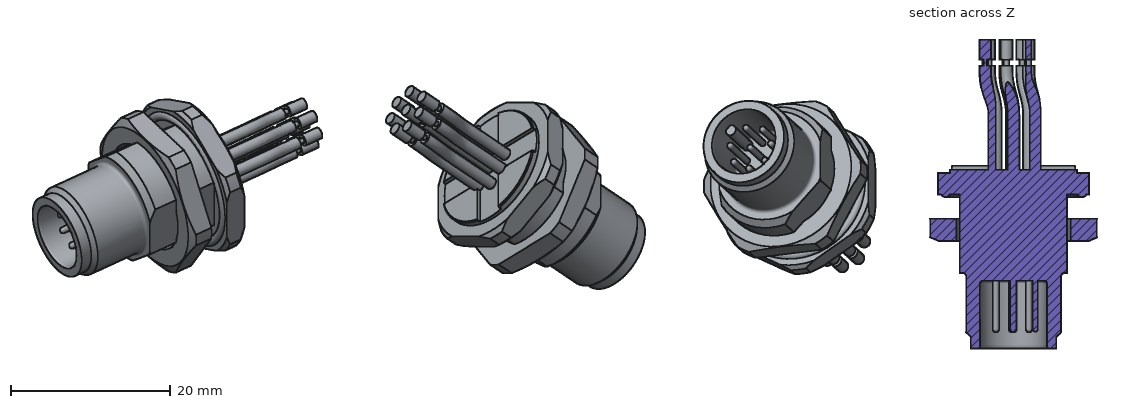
import cadquery as cq
import math


COLLAR_END = 1.47
SHOULDER_END = 2.05
SHELL_END = 9.08
THREAD_START = 9.5
THREAD_FULL = 10.32
NUT_FRONT = 13.5
NUT_BACK = 16.35
FLANGE_FRONT = 19.35
FLANGE_BACK = 22.08
SLOT_FLOOR = 22.5
BODY_BACK = 23.0
BEND_START = 29.35
BEND_END = 34.85
INSULATION_END = 35.55
CRIMP_START = 36.3
TOTAL_LENGTH = 38.8

COLLAR_RADIUS = 10.8 / 2
SHELL_RADIUS = 12.0 / 2
THREAD_RADIUS = 16.0 / 2
REAR_CHAMFER = 0.15
FLAT_DISTANCE = 6.75
FLAT_ANGLES = (0, 135, 180, 315)

BORE_RADIUS = 8.4 / 2
MOUTH_RADIUS = 4.25
MOUTH_DEPTH = 0.4
BORE_DEPTH = 8.55
BORE_FLOOR_FILLET = 0.35
KEY_RADIUS = 1.35 / 2
KEY_OFFSET = 3.7
KEY_ANGLE = 135
KEY_TIP = 2.33

ACROSS_FLATS = 19.0
NUT_CORNER_RADIUS = 21.0 / 2
NUT_FACE_RADIUS = 9.43
NUT_CHAMFER_LENGTH = 0.45
FLANGE_CORNER_RADIUS = 20.87 / 2
FLANGE_FRONT_CHAMFER = 0.5
FLANGE_BACK_CHAMFER = 0.6

SEAL_SECTION_RADIUS = 0.62
SEAL_RING_RADIUS = 8.57
SEAL_PROTRUSION = 0.35

CONTACT_CIRCLE_RADIUS = 2.75
CONTACT_PITCH = 49.1
RING_CONTACT_COUNT = 7
PIN_RADIUS = 0.8 / 2
PIN_TIP = 2.05
WIRE_RADIUS = 1.5 / 2
CORE_RADIUS = 0.7 / 2
WIRE_SHIFT = 0.85
SLOT_WIDTH = 3.65


def rod(radius, start, end, x=0.0, z=0.0):
    """Cylinder parallel to Y between two axial stations."""
    axis_start = cq.Vector(x, start, z)
    return cq.Workplane(cq.Solid.makeCylinder(radius, end - start, axis_start, cq.Vector(0, 1, 0)))


def turned(profile):
    """Solid of revolution about Y from (radius, y) points."""
    return cq.Workplane("XY").polyline(profile).close().revolve(360, (0, 0, 0), (0, 1, 0))


def polar(radius, degrees):
    """X and Z of a point around the Y axis, measured from +X toward +Z."""
    angle = math.radians(degrees)
    return radius * math.cos(angle), radius * math.sin(angle)


def contact_positions():
    """One central contact and a ring around it, symmetric about the key."""
    first_angle = KEY_ANGLE + 180 - CONTACT_PITCH * (RING_CONTACT_COUNT - 1) / 2
    angles = [first_angle + i * CONTACT_PITCH for i in range(RING_CONTACT_COUNT)]
    ring = [polar(CONTACT_CIRCLE_RADIUS, angle) for angle in angles]
    return [(0.0, 0.0)] + ring


def plug_shell():
    """Mating shell with a sloped shoulder and a concave fillet against the thread."""
    root_fillet = THREAD_START - SHELL_END
    arc_centre = (SHELL_RADIUS + root_fillet, SHELL_END)
    mid = root_fillet * math.sqrt(0.5)
    return (
        cq.Workplane("XY")
        .moveTo(0, 0)
        .lineTo(COLLAR_RADIUS, 0)
        .lineTo(COLLAR_RADIUS, COLLAR_END)
        .lineTo(SHELL_RADIUS, SHOULDER_END)
        .lineTo(SHELL_RADIUS, SHELL_END)
        .threePointArc((arc_centre[0] - mid, arc_centre[1] + mid), (arc_centre[0], THREAD_START))
        .lineTo(0, THREAD_START)
        .close()
        .revolve(360, (0, 0, 0), (0, 1, 0))
    )


def threaded_barrel():
    """Plain cylinder in place of the thread, chamfered in front, with four flats."""
    chamfer = THREAD_FULL - THREAD_START
    barrel = turned([
        (0, THREAD_START),
        (THREAD_RADIUS - chamfer, THREAD_START),
        (THREAD_RADIUS, THREAD_FULL),
        (THREAD_RADIUS, FLANGE_FRONT),
        (0, FLANGE_FRONT),
    ])
    length = FLANGE_FRONT - THREAD_START
    for angle in FLAT_ANGLES:
        cutter = (
            cq.Workplane("XY")
            .box(THREAD_RADIUS, length, 2 * THREAD_RADIUS, centered=(False, False, True))
            .translate((FLAT_DISTANCE, THREAD_START, 0))
            .rotate((0, 0, 0), (0, 1, 0), -angle)
        )
        barrel = barrel.cut(cutter)
    return barrel


def hexagon(start, end, first_flat_angle):
    """Hexagonal prism along Y; the angle points at the middle of one flat."""
    corner_distance = ACROSS_FLATS / 2 / math.cos(math.pi / 6)
    corners = [polar(corner_distance, first_flat_angle + 30 + 60 * i) for i in range(6)]
    return (
        cq.Workplane("XZ", origin=(0, start, 0))
        .polyline(corners)
        .close()
        .extrude(start - end)
    )


def lock_nut():
    """Hex nut with rounded corners, chamfered on its front face."""
    blank = turned([
        (0, NUT_FRONT),
        (NUT_FACE_RADIUS, NUT_FRONT),
        (NUT_CORNER_RADIUS, NUT_FRONT + NUT_CHAMFER_LENGTH),
        (NUT_CORNER_RADIUS, NUT_BACK),
        (0, NUT_BACK),
    ])
    thread_hole = rod(THREAD_RADIUS - (THREAD_FULL - THREAD_START), NUT_FRONT, NUT_BACK)
    return hexagon(NUT_FRONT, NUT_BACK, 90).intersect(blank).cut(thread_hole)


def flange():
    """Hex flange with rounded corners, chamfered at 45 degrees on both faces."""
    blank = turned([
        (0, FLANGE_FRONT),
        (FLANGE_CORNER_RADIUS - FLANGE_FRONT_CHAMFER, FLANGE_FRONT),
        (FLANGE_CORNER_RADIUS, FLANGE_FRONT + FLANGE_FRONT_CHAMFER),
        (FLANGE_CORNER_RADIUS, FLANGE_BACK - FLANGE_BACK_CHAMFER),
        (FLANGE_CORNER_RADIUS - FLANGE_BACK_CHAMFER, FLANGE_BACK),
        (0, FLANGE_BACK),
    ])
    return hexagon(FLANGE_FRONT, FLANGE_BACK, 0).intersect(blank)


def sealing_ring():
    """Round ring partly sunk into the front face of the flange."""
    centre = FLANGE_FRONT - SEAL_PROTRUSION + SEAL_SECTION_RADIUS
    return (
        cq.Workplane("XY")
        .center(SEAL_RING_RADIUS, centre)
        .circle(SEAL_SECTION_RADIUS)
        .revolve(360, (-SEAL_RING_RADIUS, 0, 0), (-SEAL_RING_RADIUS, 1, 0))
    )


def rear_collar():
    """Chamfered disc behind the flange with two crossing slots in its back face."""
    collar = rod(THREAD_RADIUS, FLANGE_BACK, BODY_BACK).faces(">Y").chamfer(REAR_CHAMFER)
    slot_depth = BODY_BACK - SLOT_FLOOR
    slot = (
        cq.Workplane("XY")
        .box(SLOT_WIDTH, slot_depth, 2 * THREAD_RADIUS, centered=(True, False, True))
        .translate((0, SLOT_FLOOR, 0))
    )
    return collar.cut(slot).cut(slot.rotate((0, 0, 0), (0, 1, 0), 90))


def socket():
    """Blind bore with a flared mouth and a rounded floor edge; the key is left standing."""
    bore = rod(BORE_RADIUS, 0, BORE_DEPTH).faces(">Y").edges().fillet(BORE_FLOOR_FILLET)
    mouth = turned([
        (0, 0),
        (MOUTH_RADIUS, 0),
        (BORE_RADIUS, MOUTH_DEPTH),
        (0, MOUTH_DEPTH),
    ])
    key_x, key_z = polar(KEY_OFFSET, KEY_ANGLE)
    key = rod(KEY_RADIUS, KEY_TIP, BORE_DEPTH, key_x, key_z)
    return bore.union(mouth).cut(key)


def pin(x, z):
    """Contact pin with a hemispherical tip, standing on the bore floor."""
    dome_centre = PIN_TIP + PIN_RADIUS
    dome = cq.Workplane("XY").sphere(PIN_RADIUS).translate((x, dome_centre, z))
    return rod(PIN_RADIUS, dome_centre, BORE_DEPTH, x, z).union(dome)


def wire(x, z):
    """Insulated wire with an S-bend, a bare core and a crimped end."""
    end_x = x - WIRE_SHIFT
    end_z = z - WIRE_SHIFT
    along_y = cq.Vector(0, 1, 0)
    path = cq.Edge.makeSpline(
        [cq.Vector(x, BEND_START, z), cq.Vector(end_x, BEND_END, end_z)],
        tangents=[along_y, along_y],
    )
    bend = (
        cq.Workplane("XZ", origin=(x, BEND_START, z))
        .circle(WIRE_RADIUS)
        .sweep(cq.Workplane(path))
    )
    return (
        rod(WIRE_RADIUS, SLOT_FLOOR, BEND_START, x, z)
        .union(bend)
        .union(rod(WIRE_RADIUS, BEND_END, INSULATION_END, end_x, end_z))
        .union(rod(CORE_RADIUS, INSULATION_END, CRIMP_START, end_x, end_z))
        .union(rod(WIRE_RADIUS, CRIMP_START, TOTAL_LENGTH, end_x, end_z))
    )


part = plug_shell().union(threaded_barrel()).union(lock_nut()).union(flange())
part = part.union(sealing_ring()).union(rear_collar()).cut(socket())
for contact_x, contact_z in contact_positions():
    part = part.union(pin(contact_x, contact_z)).union(wire(contact_x, contact_z))

result = part